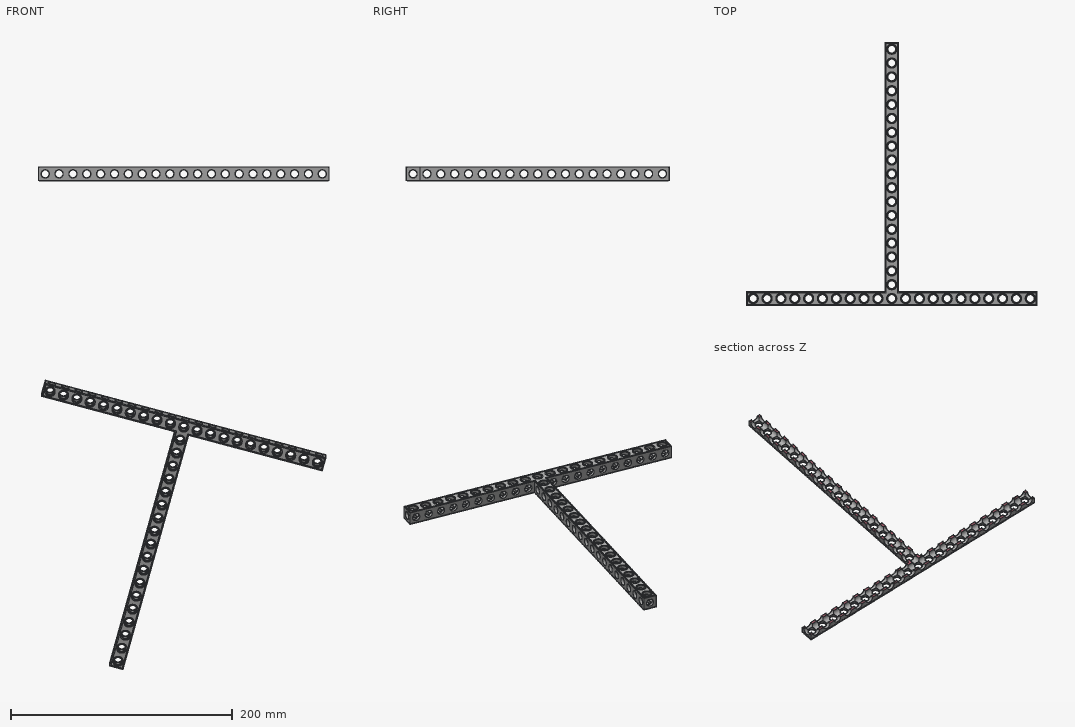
import cadquery as cq

overall_length = 262.5
bar_cells = 21
stem_cells = 18
pitch = overall_length / bar_cells
half_width = pitch / 2
overall_depth = (stem_cells + 1) * pitch
stem_x = overall_length / 2

hole_diameter = 7.0
mouth_diameter = 9.2

step_width = 1.0
step_depth = 0.2

bar_centers = [((i + 0.5) * pitch, half_width) for i in range(bar_cells)]
stem_centers = [(stem_x, (i + 1.5) * pitch) for i in range(stem_cells)]
cell_centers = bar_centers + stem_centers


def tee(inset, height):
    """Return a T-shaped plate whose outline is moved inward by inset."""
    bar = cq.Workplane("XY").box(
        overall_length - 2 * inset, pitch - 2 * inset, height, centered=(True, True, False)
    ).translate((stem_x, half_width, 0))
    stem_length = overall_depth - half_width - inset
    stem = cq.Workplane("XY").box(
        pitch - 2 * inset, stem_length, height, centered=(True, False, False)
    ).translate((stem_x, half_width, 0))
    return bar.union(stem)


def stepped_body():
    """Return the solid T with narrower top and bottom layers."""
    core = tee(0, pitch - 2 * step_depth).translate((0, 0, step_depth))
    return core.union(tee(step_width, pitch))


def cylinders(diameter, starts, direction, length):
    """Return equal, separate cylinders that run from each start point along direction."""
    axis = cq.Vector(*direction)
    solids = [cq.Solid.makeCylinder(diameter / 2, length, cq.Vector(*p), axis) for p in starts]
    return cq.Workplane(obj=cq.Compound.makeCompound(solids))


def cut_vertical_holes(body):
    """Cut a hole with two mouths through every cell along Z."""
    bottom = [(x, y, 0) for x, y in cell_centers]
    top_floor = [(x, y, pitch - step_depth) for x, y in cell_centers]
    body = body.cut(cylinders(hole_diameter, bottom, (0, 0, 1), pitch))
    body = body.cut(cylinders(mouth_diameter, bottom, (0, 0, 1), step_depth))
    return body.cut(cylinders(mouth_diameter, top_floor, (0, 0, 1), step_depth))


def cut_horizontal_holes(body):
    """Cut the cross holes and the lengthwise bore of both bars."""
    row_starts = [(0, half_width, half_width)] + [(0, y, half_width) for _, y in stem_centers]
    column_starts = [(x, 0, half_width) for x, _ in bar_centers]
    body = body.cut(cylinders(hole_diameter, row_starts, (1, 0, 0), overall_length))
    return body.cut(cylinders(hole_diameter, column_starts, (0, 1, 0), overall_depth))


result = cut_horizontal_holes(cut_vertical_holes(stepped_body()))